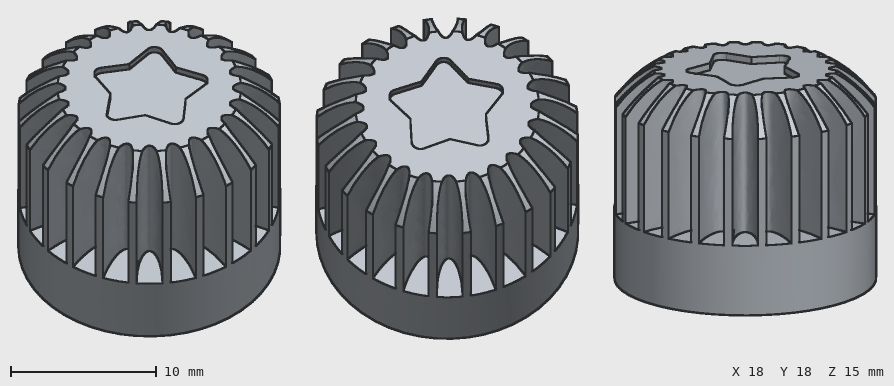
import cadquery as cq
import math

body_radius = 9.0
body_height = 15.0
collar_height = 5.0
top_face_radius = 6.3
crown_height = 2.35
crown_bulge = 0.17

flute_count = 24
flute_root_radius = 5.75
flute_half_width = 0.89
flute_depth = body_radius - flute_root_radius

star_points = 5
star_sharp_tip_radius = 4.53
star_notch_radius = 2.73
star_tip_fillet = 0.6
star_recess_depth = 0.5


def make_body():
    """Solid of revolution whose shoulder curves in to the flat top face."""
    shoulder_height = body_height - crown_height
    return (
        cq.Workplane("XZ")
        .lineTo(body_radius, 0)
        .lineTo(body_radius, shoulder_height)
        .sagittaArc((top_face_radius, body_height), -crown_bulge)
        .lineTo(0, body_height)
        .close()
        .revolve(360, (0, 0, 0), (0, 1, 0))
    )


def make_flutes():
    """Elliptical cutters around the rim, from the collar up through the top."""
    return (
        cq.Workplane("XY")
        .workplane(offset=collar_height)
        .polarArray(body_radius, 0, 360, flute_count)
        .ellipse(flute_depth, flute_half_width)
        .extrude(body_height - collar_height)
    )


def make_star():
    """Star-shaped cutter with rounded tips, one tip pointing along +X."""
    corners = []
    for index in range(2 * star_points):
        is_tip = index % 2 == 0
        radius = star_sharp_tip_radius if is_tip else star_notch_radius
        angle = math.pi * index / star_points
        corners.append((radius * math.cos(angle), radius * math.sin(angle)))

    star = (
        cq.Workplane("XY")
        .workplane(offset=body_height - star_recess_depth)
        .polyline(corners)
        .close()
        .extrude(star_recess_depth)
    )
    middle_radius = (star_sharp_tip_radius + star_notch_radius) / 2
    tip_edges = star.edges("|Z").filter(
        lambda edge: math.hypot(edge.Center().x, edge.Center().y) > middle_radius
    )
    return tip_edges.fillet(star_tip_fillet)


result = make_body().cut(make_flutes()).cut(make_star())